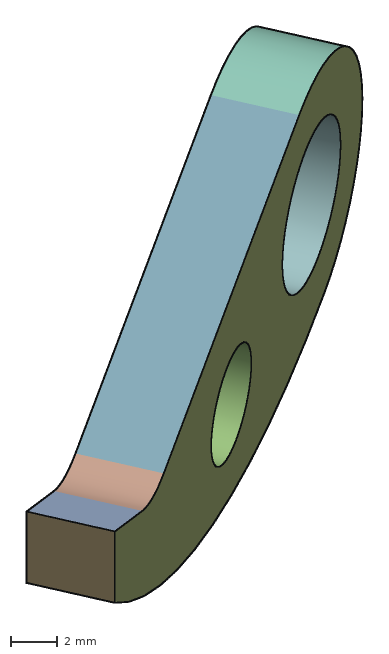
import cadquery as cq
import math

thickness = 4.0
length = 34.0
head_radius = 7.0
large_hole_diameter = 8.0
small_hole_diameter = 5.5
small_hole_y = -11.0
small_hole_z = -2.0

tip_y = head_radius - length
tip_top_z = 4.7
tip_bottom_z = 0.48
back_slope = math.radians(14)
beak_slope = math.radians(29.5)
neck_radius = 4.0
belly_radius = 30.77


def polar(radius, angle):
    """Point at a distance and angle from the head centre."""
    return radius * math.cos(angle), radius * math.sin(angle)


back_angle = math.pi / 2 + back_slope
back_start = polar(head_radius, back_angle)
back_z_at_origin = head_radius / math.cos(back_slope)
beak_z_at_origin = tip_top_z + tip_y * math.tan(beak_slope)
neck_y = (beak_z_at_origin - back_z_at_origin) / (math.tan(back_slope) + math.tan(beak_slope))
neck_z = back_z_at_origin + neck_y * math.tan(back_slope)

belly_center_distance = belly_radius - head_radius
tip_distance = math.hypot(tip_y, tip_bottom_z)
tip_angle = math.atan2(tip_bottom_z, tip_y)
triangle_cosine = (belly_center_distance**2 + tip_distance**2 - belly_radius**2) / (
    2 * belly_center_distance * tip_distance
)
belly_center_angle = tip_angle - math.acos(triangle_cosine)
belly_center_y, belly_center_z = polar(belly_center_distance, belly_center_angle)
belly_end = polar(head_radius, belly_center_angle + math.pi)
belly_bottom = (belly_center_y, belly_center_z - belly_radius)

outline = (
    cq.Workplane("YZ", origin=(-thickness / 2, 0, 0))
    .moveTo(*back_start)
    .lineTo(neck_y, neck_z)
    .lineTo(tip_y, tip_top_z)
    .lineTo(tip_y, tip_bottom_z)
    .threePointArc(belly_bottom, belly_end)
    .threePointArc((head_radius, 0), back_start)
    .close()
)
body = outline.extrude(thickness)

neck_edge = cq.selectors.NearestToPointSelector((0, neck_y, neck_z))
body = body.edges("|X").edges(neck_edge).fillet(neck_radius)


def cross_hole(diameter, y, z):
    """Cylinder through the full thickness at the given place."""
    start = cq.Workplane("YZ", origin=(-thickness / 2, y, z))
    return start.circle(diameter / 2).extrude(thickness)


result = body.cut(cross_hole(large_hole_diameter, 0, 0))
result = result.cut(cross_hole(small_hole_diameter, small_hole_y, small_hole_z))